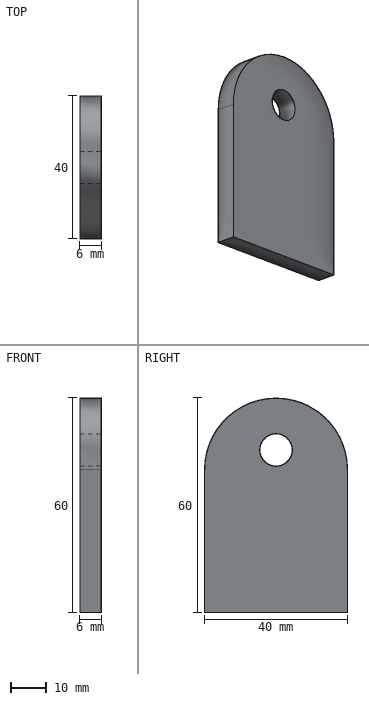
import cadquery as cq

thickness = 6.0
width = 40.0
height = 60.0
hole_diameter = 9.0
hole_edge_distance = 10.0

crown_radius = width / 2
shoulder_height = height - crown_radius
hole_height = height - hole_edge_distance - hole_diameter / 2


def make_plate():
    """Upright plate with a full-round top, extruded along X from the YZ plane."""
    return (
        cq.Workplane("YZ")
        .moveTo(-crown_radius, 0)
        .lineTo(crown_radius, 0)
        .lineTo(crown_radius, shoulder_height)
        .threePointArc((0, height), (-crown_radius, shoulder_height))
        .close()
        .extrude(thickness)
    )


def make_hole():
    """Cylinder that cuts the through hole on the plate's centreline."""
    return (
        cq.Workplane("YZ")
        .center(0, hole_height)
        .circle(hole_diameter / 2)
        .extrude(thickness)
    )


result = make_plate().cut(make_hole())